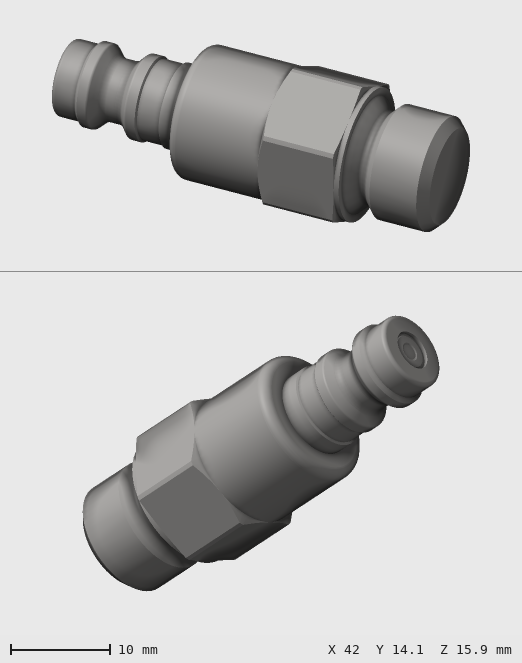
import cadquery as cq
import math

total_length = 42.0
nose_radius = 8.05 / 2
collar_radius = 8.95 / 2
waist_radius = 6.6 / 2
seat_radius = 8.5 / 2
body_radius = 14.0 / 2
thread_radius = 12.0 / 2
undercut_radius = 9.7 / 2

nose_round = 0.4
collar_start = 2.6
groove_start = 3.95
waist_start = 5.7
waist_end = 6.7
groove_end = 8.4
waist_round = 1.05
collar_round = 0.35

seat_start = 9.4
seat_end = 12.1
seat_bevel = 0.15

body_start = 14.03
body_round = 1.0
hex_start = 24.02
hex_end = 32.4
hex_across_flats = 14.0
hex_corner_radius = 15.88 / 2
hex_turn = 1.0
hex_front_bevel_angle = 30.0
hex_rear_bevel = 0.13
flange_end = 32.93

undercut_start = 34.45
undercut_end = 34.52
undercut_round = 0.45
thread_bevel = 1.0

valve_mouth_radius = 4.2 / 2
valve_depth = 0.4
valve_face_radius = 1.75
valve_bevel = 0.1
dimple_radius = 2.0 / 2
dimple_floor_radius = 0.85
dimple_depth = 0.1

arc_run = math.sin(math.radians(45))
arc_rise = 1 - math.cos(math.radians(45))
mid_run = math.sin(math.radians(22.5))
mid_rise = 1 - math.cos(math.radians(22.5))


def arc_off_cylinder(x, radius, bend, along, outward):
    """Middle and end of a 45 degree arc tangent to a cylinder at x."""
    middle = (x + along * bend * mid_run, radius + outward * bend * mid_rise)
    end = (x + along * bend * arc_run, radius + outward * bend * arc_rise)
    return middle, end


def make_turned_body():
    front_crest = arc_off_cylinder(groove_start, collar_radius, collar_round, 1, -1)
    front_waist = arc_off_cylinder(waist_start, waist_radius, waist_round, -1, 1)
    rear_waist = arc_off_cylinder(waist_end, waist_radius, waist_round, 1, 1)
    rear_crest = arc_off_cylinder(groove_end, collar_radius, collar_round, -1, -1)
    front_undercut = arc_off_cylinder(undercut_start, undercut_radius, undercut_round, -1, 1)
    rear_undercut = arc_off_cylinder(undercut_end, undercut_radius, undercut_round, 1, 1)
    undercut_mouth = front_undercut[1][1] + front_undercut[1][0] - flange_end
    thread_start = rear_undercut[1][0] + thread_radius - rear_undercut[1][1]

    profile = (
        cq.Workplane("XY")
        .moveTo(0, 0)
        .lineTo(0, nose_radius - nose_round)
        .radiusArc((nose_round, nose_radius), nose_round)
        .lineTo(collar_start, nose_radius)
        .lineTo(collar_start + collar_radius - nose_radius, collar_radius)
        .lineTo(groove_start, collar_radius)
        .threePointArc(*front_crest)
        .lineTo(*front_waist[1])
        .threePointArc(front_waist[0], (waist_start, waist_radius))
        .lineTo(waist_end, waist_radius)
        .threePointArc(*rear_waist)
        .lineTo(*rear_crest[1])
        .threePointArc(rear_crest[0], (groove_end, collar_radius))
        .lineTo(seat_start, collar_radius)
        .lineTo(seat_start + seat_bevel, seat_radius)
        .lineTo(seat_end - seat_bevel, seat_radius)
        .lineTo(seat_end, collar_radius)
        .lineTo(body_start, collar_radius)
        .lineTo(body_start, body_radius - body_round)
        .radiusArc((body_start + body_round, body_radius), body_round)
        .lineTo(flange_end, body_radius)
        .lineTo(flange_end, undercut_mouth)
        .lineTo(*front_undercut[1])
        .threePointArc(front_undercut[0], (undercut_start, undercut_radius))
        .lineTo(undercut_end, undercut_radius)
        .threePointArc(*rear_undercut)
        .lineTo(thread_start, thread_radius)
        .lineTo(total_length - thread_bevel, thread_radius)
        .lineTo(total_length, thread_radius - thread_bevel)
        .lineTo(total_length, 0)
        .close()
    )
    return profile.revolve(360, (0, 0, 0), (1, 0, 0))


def make_hexagon():
    """Hexagon with its corners turned round and both ends bevelled."""
    across_corners = hex_across_flats / math.cos(math.radians(30))
    prism = (
        cq.Workplane("YZ", origin=(hex_start, 0, 0))
        .polygon(6, across_corners)
        .extrude(hex_end - hex_start)
        .rotate((0, 0, 0), (1, 0, 0), 90 - hex_turn)
    )
    corner_height = hex_corner_radius - body_radius
    front_bevel = corner_height * math.tan(math.radians(hex_front_bevel_angle))
    envelope = (
        cq.Workplane("XY")
        .moveTo(hex_start, 0)
        .lineTo(hex_start, body_radius)
        .lineTo(hex_start + front_bevel, hex_corner_radius)
        .lineTo(hex_end - hex_rear_bevel, hex_corner_radius)
        .lineTo(hex_end, body_radius)
        .lineTo(hex_end, 0)
        .close()
        .revolve(360, (0, 0, 0), (1, 0, 0))
    )
    return prism.intersect(envelope)


def make_valve_recess():
    """Shallow round recess with a bevelled valve face, dimpled at its centre."""
    recess = (
        cq.Workplane("XY")
        .moveTo(0, 0)
        .lineTo(0, valve_mouth_radius)
        .lineTo(valve_depth, valve_mouth_radius)
        .lineTo(valve_depth, valve_face_radius + valve_bevel)
        .lineTo(valve_depth - valve_bevel, valve_face_radius)
        .lineTo(valve_depth - valve_bevel, dimple_radius)
        .lineTo(valve_depth - valve_bevel + dimple_depth, dimple_floor_radius)
        .lineTo(valve_depth - valve_bevel + dimple_depth, 0)
        .close()
    )
    return recess.revolve(360, (0, 0, 0), (1, 0, 0))


result = make_turned_body().union(make_hexagon()).cut(make_valve_recess())